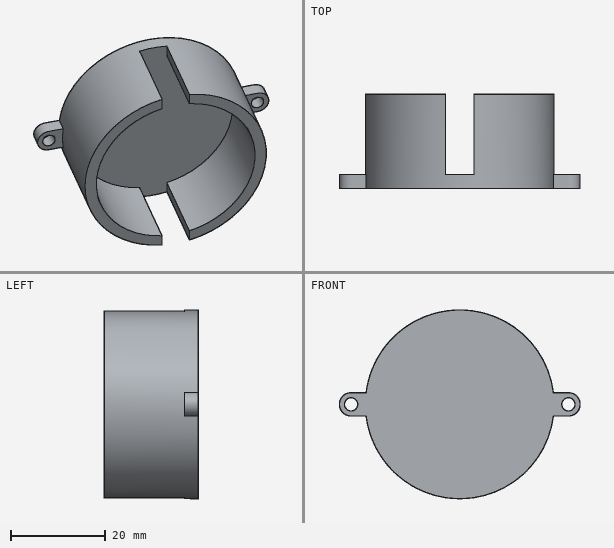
import cadquery as cq

cup_diameter = 40.0
cup_depth = 20.0
wall_thickness = 2.5
floor_thickness = 3.0

slot_width = 6.0

ear_span = 51.0
ear_width = 5.0
ear_thickness = floor_thickness
ear_hole_diameter = 2.75
ear_hole_spacing = ear_span - ear_width

cavity_diameter = cup_diameter - 2 * wall_thickness
cavity_depth = cup_depth - floor_thickness


def plane_at(y):
    """XZ sketch plane at the given y, with its normal along +Y."""
    return cq.Workplane(cq.Plane(origin=(0, y, 0), xDir=(1, 0, 0), normal=(0, 1, 0)))


def cup_body():
    return plane_at(0).circle(cup_diameter / 2).extrude(cup_depth)


def ear_bar():
    """Round-ended bar across the floor whose ends form both ears."""
    return plane_at(0).slot2D(ear_span, ear_width).extrude(ear_thickness)


def cavity():
    return plane_at(floor_thickness).circle(cavity_diameter / 2).extrude(cavity_depth)


def wall_slot():
    return plane_at(floor_thickness).rect(slot_width, cup_diameter).extrude(cavity_depth)


def ear_holes():
    hole_centers = [(-ear_hole_spacing / 2, 0), (ear_hole_spacing / 2, 0)]
    return plane_at(0).pushPoints(hole_centers).circle(ear_hole_diameter / 2).extrude(ear_thickness)


result = cup_body().union(ear_bar()).cut(cavity()).cut(wall_slot()).cut(ear_holes())